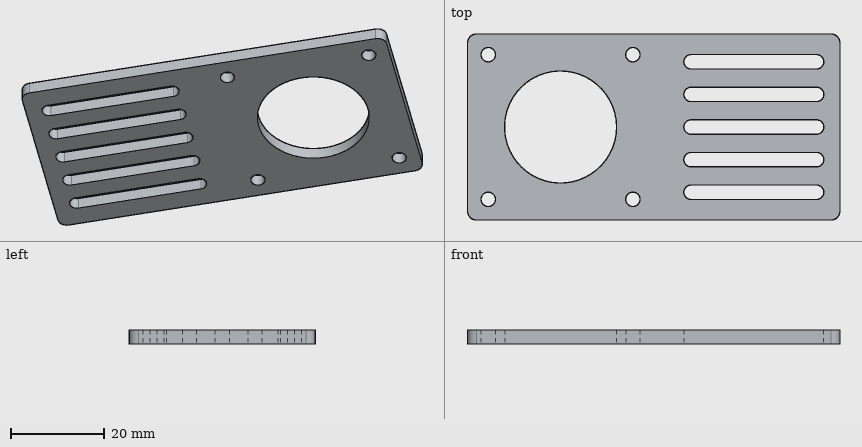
import cadquery as cq

length = 80.0
width = length / 2
thickness = 3.0
corner_radius = 2.0

fan_x = -length / 4
fan_diameter = 24.0
screw_pitch = 31.0
screw_diameter = 3.0

slot_count = 5
slot_length = 30.0
slot_width = 3.0
slot_row_span = 28.0
slot_pitch = slot_row_span / (slot_count - 1)
slot_end_margin = 3.5
slot_x = length / 2 - slot_end_margin - slot_length / 2


def make_plate():
    plate = cq.Workplane("XY").rect(length, width).extrude(thickness)
    return plate.edges("|Z").fillet(corner_radius)


def make_fan_cutter():
    layout = cq.Workplane("XY").center(fan_x, 0)
    opening = layout.circle(fan_diameter / 2).extrude(thickness)
    screws = (
        cq.Workplane("XY")
        .center(fan_x, 0)
        .rect(screw_pitch, screw_pitch, forConstruction=True)
        .vertices()
        .circle(screw_diameter / 2)
        .extrude(thickness)
    )
    return opening.add(screws).combine()


def make_slot_cutter():
    return (
        cq.Workplane("XY")
        .center(slot_x, 0)
        .rarray(0.8, slot_pitch, 1, slot_count)
        .slot2D(slot_length, slot_width)
        .extrude(thickness)
    )


result = make_plate().cut(make_fan_cutter()).cut(make_slot_cutter())